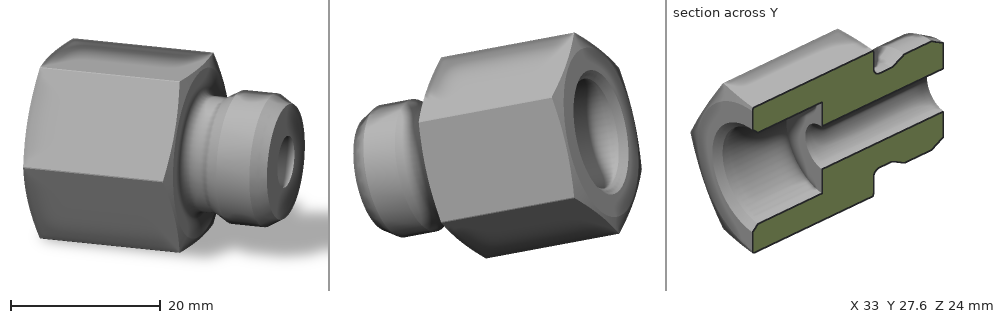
import cadquery as cq
import math

total_length = 33.0
hex_length = 21.0

across_flats = 24.0
hex_turned_diameter = 27.62
hex_face_diameter = 23.0
hex_bevel_angle = 15.0

spigot_diameter = 18.0
neck_diameter = 15.6
neck_fillet = 1.0
neck_length = 2.9
cone_angle = 30.0

socket_diameter = 14.95
socket_depth = 12.0
socket_mouth_diameter = 16.9
socket_chamfer_angle = 45.0
through_diameter = 7.0


def make_hexagon():
    """Hexagonal bar with flats up and down, its corners turned and bevelled at both ends."""
    across_corners = across_flats / math.cos(math.radians(30))
    bar = cq.Workplane("YZ").polygon(6, across_corners).extrude(hex_length)

    face_radius = hex_face_diameter / 2
    turned_radius = hex_turned_diameter / 2
    bevel_length = (turned_radius - face_radius) * math.tan(math.radians(hex_bevel_angle))
    envelope = (
        cq.Workplane("XY")
        .moveTo(0, 0)
        .lineTo(0, face_radius)
        .lineTo(bevel_length, turned_radius)
        .lineTo(hex_length - bevel_length, turned_radius)
        .lineTo(hex_length, face_radius)
        .lineTo(hex_length, 0)
        .close()
        .revolve(360, (0, 0, 0), (1, 0, 0))
    )
    return bar.intersect(envelope)


def make_spigot():
    """Spigot with a filleted neck, a conical runout and a conical lead-in."""
    spigot_radius = spigot_diameter / 2
    neck_radius = neck_diameter / 2
    slope = math.tan(math.radians(cone_angle))
    center_radius = neck_radius + neck_fillet

    def fillet_point(center_x, degrees):
        """Point on a neck fillet, at an angle from the one straight below its centre."""
        angle = math.radians(degrees)
        x = center_x + neck_fillet * math.sin(angle)
        return x, center_radius - neck_fillet * math.cos(angle)

    first_center = hex_length + neck_fillet
    second_center = hex_length + neck_length
    runout_start = fillet_point(second_center, cone_angle)
    runout_end = runout_start[0] + (spigot_radius - runout_start[1]) / slope
    lead_in_start = total_length - (spigot_radius - neck_radius) / slope
    return (
        cq.Workplane("XY")
        .moveTo(hex_length, 0)
        .lineTo(*fillet_point(first_center, -90))
        .threePointArc(fillet_point(first_center, -45), fillet_point(first_center, 0))
        .lineTo(second_center, neck_radius)
        .threePointArc(fillet_point(second_center, cone_angle / 2), runout_start)
        .lineTo(runout_end, spigot_radius)
        .lineTo(lead_in_start, spigot_radius)
        .lineTo(total_length, neck_radius)
        .lineTo(total_length, 0)
        .close()
        .revolve(360, (0, 0, 0), (1, 0, 0))
    )


def make_bore():
    """Chamfered flat-bottomed socket continuing as a narrower through hole."""
    mouth_radius = socket_mouth_diameter / 2
    socket_radius = socket_diameter / 2
    through_radius = through_diameter / 2
    chamfer_length = (mouth_radius - socket_radius) / math.tan(math.radians(socket_chamfer_angle))
    return (
        cq.Workplane("XY")
        .moveTo(0, 0)
        .lineTo(0, mouth_radius)
        .lineTo(chamfer_length, socket_radius)
        .lineTo(socket_depth, socket_radius)
        .lineTo(socket_depth, through_radius)
        .lineTo(total_length, through_radius)
        .lineTo(total_length, 0)
        .close()
        .revolve(360, (0, 0, 0), (1, 0, 0))
    )


result = make_hexagon().union(make_spigot()).cut(make_bore())